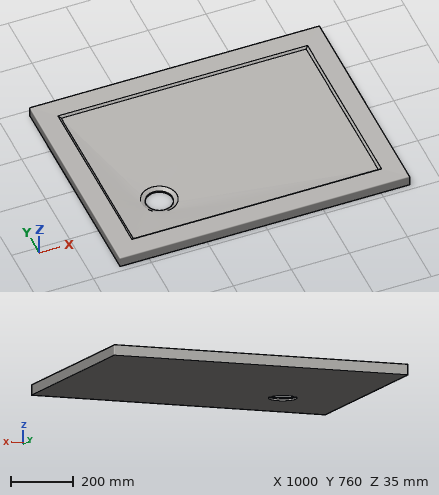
import cadquery as cq
import math

length = 1000.0
width = 760.0
height = 35.0
edge_radius = 4.0

rim_width = 70.0
rim_drop = 2.0
step_inset = 8.0
step_drop = 6.0
rim_inner_z = height - rim_drop
floor_edge_z = rim_inner_z - step_drop

drain_x = -270.0
drain_y = -150.0
lip_radius = 60.0
lip_z = 13.0
hole_radius = 45.0
hole_z = 6.0

split_y = -85.0

crease_angles = [-35, -10, 37, 140, 187, 220]


def inset_frustum(bottom_inset, bottom_z, top_inset, top_z):
    """Rectangular tapered block following the slab outline at two insets."""
    return (
        cq.Workplane("XY", origin=(0, 0, bottom_z))
        .rect(length - 2 * bottom_inset, width - 2 * bottom_inset)
        .workplane(offset=top_z - bottom_z)
        .rect(length - 2 * top_inset, width - 2 * top_inset)
        .loft(ruled=True)
    )


def lip_point(angle):
    """Point on the drain lip at an angle in degrees."""
    return cq.Vector(
        drain_x + lip_radius * math.cos(math.radians(angle)),
        drain_y + lip_radius * math.sin(math.radians(angle)),
        lip_z,
    )


def floor_cutter():
    """Space above the floor panels, each ruled from a basin edge to a lip arc."""
    half_x = length / 2 - rim_width - step_inset
    half_y = width / 2 - rim_width - step_inset
    basin_outline = [
        (half_x, -half_y),
        (half_x, split_y),
        (half_x, half_y),
        (-half_x, half_y),
        (-half_x, split_y),
        (-half_x, -half_y),
    ]
    corners = [cq.Vector(x, y, floor_edge_z) for x, y in basin_outline]
    basin_edges = []
    lip_arcs = []
    panels = []
    for i, start in enumerate(crease_angles):
        following = (i + 1) % len(crease_angles)
        sweep = (crease_angles[following] - start) % 360
        edge = cq.Edge.makeLine(corners[i], corners[following])
        arc = cq.Edge.makeThreePointArc(
            lip_point(start), lip_point(start + sweep / 2), lip_point(start + sweep)
        )
        basin_edges.append(edge)
        lip_arcs.append(arc)
        panels.append(cq.Face.makeRuledSurface(edge, arc))
    top = cq.Face.makeFromWires(cq.Wire.assembleEdges(basin_edges))
    bottom = cq.Face.makeFromWires(cq.Wire.assembleEdges(lip_arcs))
    shell = cq.Shell.makeShell(panels + [top, bottom])
    return cq.Workplane(cq.Solid.makeSolid(shell).fix())


def drain_cutter():
    """Conical drain seat running into a through hole."""
    seat_base = cq.Vector(drain_x, drain_y, hole_z)
    seat = cq.Solid.makeCone(hole_radius, lip_radius, lip_z - hole_z, seat_base)
    hole = cq.Solid.makeCylinder(hole_radius, height, cq.Vector(drain_x, drain_y, 0))
    return cq.Workplane(seat).union(cq.Workplane(hole))


slab = (
    cq.Workplane("XY")
    .box(length, width, height, centered=(True, True, False))
    .edges("|Z or >Z")
    .fillet(edge_radius)
)
rim_slope = inset_frustum(rim_width, rim_inner_z, edge_radius, height)
step = inset_frustum(rim_width + step_inset, floor_edge_z, rim_width, rim_inner_z)

result = slab.cut(rim_slope).cut(step).cut(floor_cutter()).cut(drain_cutter())